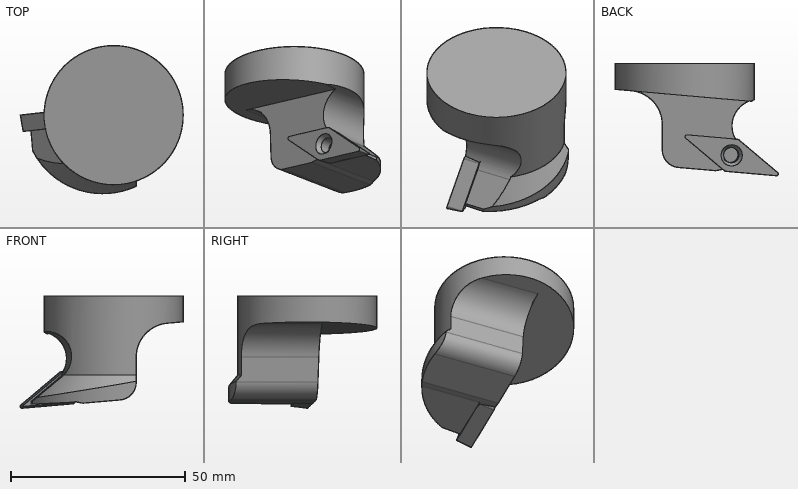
import cadquery as cq
import math

shank_diameter = 40.0
flare_top_z = -22.77
flare_angle = 39.4
head_radius = 22.6
head_axis_x = -3.15
tool_depth = 33.75

lead_angle = 5.0
underside_z = -9.25
bottom_z = -30.1
tip_relief_depth = 0.55
tip_relief_angle = 2.8
tip_relief_x = -10.8
tip_relief_end_x = -8.8
neck_wall_x = 6.5
neck_fillet = 9.7
heel_fillet = 5.15

rake_slope_x = 0.085
rake_slope_z = 0.035
rake_y = 3.4

scallop_radius = 7.7
scallop_x = -21.35
scallop_z = -18.0
nose_x = -24.35

insert_angle = 35.0
insert_incircle = 9.5
insert_thickness = 4.8
insert_clearance = 5.0
insert_nose_radius = 0.55
insert_center_x = -13.6
insert_center_z = -26.45
screw_diameter = 4.4
countersink_diameter = 6.1
countersink_depth = 1.4

reach = 70.3
lead_slope = math.tan(math.radians(lead_angle))
flank_angle = lead_angle + insert_angle

rake_plane = cq.Plane(
    origin=(0, rake_y, 0),
    xDir=(1, rake_slope_x, 0),
    normal=(rake_slope_x, -1, rake_slope_z),
)


def underside_at(x):
    return underside_z + lead_slope * x


def bottom_at(x):
    return bottom_z + lead_slope * x


def make_blank():
    """Shank cylinder with a flared head bounded by an offset cylinder."""
    shank_radius = shank_diameter / 2
    flare_height = tool_depth + flare_top_z
    flare_radius = shank_radius + flare_height * math.tan(math.radians(flare_angle))
    shank = cq.Workplane("XY").circle(shank_radius).extrude(-tool_depth)
    flare = (
        cq.Workplane("XZ")
        .moveTo(0, flare_top_z)
        .lineTo(shank_radius, flare_top_z)
        .lineTo(flare_radius, -tool_depth)
        .lineTo(0, -tool_depth)
        .close()
        .revolve(360, (0, 0, 0), (0, 1, 0))
    )
    head = cq.Workplane("XY").center(head_axis_x, 0).circle(head_radius).extrude(-tool_depth)
    upper_shank = shank.intersect(
        cq.Workplane("XY").rect(reach, reach).extrude(flare_top_z)
    )
    return upper_shank.union(flare.intersect(head))


def make_neck_cutter():
    """Space to the right of the neck, below the tilted underside."""
    lead = math.radians(lead_angle)
    arc_center_x = neck_wall_x + neck_fillet
    arc_center_z = underside_at(arc_center_x) - neck_fillet / math.cos(lead)
    arc_middle = math.radians(135 + lead_angle / 2)
    return (
        cq.Workplane("XZ")
        .moveTo(neck_wall_x, -reach)
        .lineTo(neck_wall_x, arc_center_z)
        .threePointArc(
            (
                arc_center_x + neck_fillet * math.cos(arc_middle),
                arc_center_z + neck_fillet * math.sin(arc_middle),
            ),
            (
                arc_center_x - neck_fillet * math.sin(lead),
                arc_center_z + neck_fillet * math.cos(lead),
            ),
        )
        .lineTo(reach, underside_at(reach))
        .lineTo(reach, -reach)
        .close()
        .extrude(reach, both=True)
    )


def make_gullet_cutter():
    """Space in front of the rake face, below the tilted underside."""
    below_underside = (
        cq.Workplane("XZ")
        .polyline([
            (-reach, underside_at(-reach)),
            (reach, underside_at(reach)),
            (reach, -reach),
            (-reach, -reach),
        ])
        .close()
        .extrude(reach, both=True)
    )
    rake_side = cq.Workplane(rake_plane).rect(3 * reach, 3 * reach).extrude(-reach)
    return below_underside.intersect(rake_side)


def make_scallop_cutter():
    """Round scallop that runs out tangentially into the flank, then the blunt holder nose."""
    flank = math.radians(flank_angle)
    tangent_x = scallop_x + scallop_radius * math.sin(flank)
    tangent_z = scallop_z - scallop_radius * math.cos(flank)
    nose_z = tangent_z + (nose_x - tangent_x) * math.tan(flank)
    return (
        cq.Workplane(rake_plane)
        .moveTo(-reach, scallop_z + scallop_radius)
        .lineTo(scallop_x, scallop_z + scallop_radius)
        .threePointArc((scallop_x + scallop_radius, scallop_z), (tangent_x, tangent_z))
        .lineTo(nose_x, nose_z)
        .lineTo(nose_x, -reach)
        .lineTo(-reach, -reach)
        .close()
        .extrude(reach, both=True)
    )


def make_bottom_envelope():
    """Everything above the bottom face, with the tip relief and the rounded heel."""
    relief_z = bottom_at(tip_relief_x) + tip_relief_depth
    relief_slope = math.tan(math.radians(tip_relief_angle))
    rounded_head = (
        cq.Workplane("XZ")
        .polyline([
            (-reach, relief_z - relief_slope * (reach + tip_relief_x)),
            (tip_relief_x, relief_z),
            (tip_relief_end_x, bottom_at(tip_relief_end_x)),
            (neck_wall_x, bottom_at(neck_wall_x)),
            (neck_wall_x, flare_top_z),
            (-reach, flare_top_z),
        ])
        .close()
        .extrude(reach, both=True)
        .edges(cq.selectors.NearestToPointSelector((neck_wall_x, 0, bottom_at(neck_wall_x))))
        .fillet(heel_fillet)
    )
    above = cq.Workplane("XY", origin=(0, 0, flare_top_z)).rect(3 * reach, 3 * reach).extrude(reach)
    return above.union(rounded_head)


def make_insert_blank():
    """Rhombic plate with rounded corners and relieved flanks, without its hole."""
    half_angle = math.radians(insert_angle / 2)
    core_radius = insert_incircle / 2 - insert_nose_radius
    half_length = core_radius / math.sin(half_angle)
    half_width = core_radius / math.cos(half_angle)
    return (
        cq.Workplane(rake_plane)
        .center(insert_center_x, insert_center_z)
        .transformed(rotate=(0, 0, lead_angle + insert_angle / 2))
        .polyline([(-half_length, 0), (0, -half_width), (half_length, 0), (0, half_width)])
        .close()
        .offset2D(insert_nose_radius)
        .extrude(insert_thickness, taper=insert_clearance)
    )


def make_insert():
    """Insert with a countersunk screw hole that opens on the rake face."""
    hole_start = cq.Workplane(rake_plane).center(insert_center_x, insert_center_z)
    screw_hole = hole_start.circle(screw_diameter / 2).extrude(insert_thickness)
    countersink = (
        hole_start.circle(countersink_diameter / 2)
        .workplane(offset=countersink_depth)
        .circle(screw_diameter / 2)
        .loft()
    )
    return make_insert_blank().cut(screw_hole).cut(countersink)


def make_holder():
    """One-piece holder with a pocket that fits the insert."""
    return (
        make_blank()
        .intersect(make_bottom_envelope())
        .cut(make_neck_cutter())
        .cut(make_gullet_cutter())
        .cut(make_scallop_cutter())
        .cut(make_insert_blank())
    )


holder = make_holder()
insert = make_insert()
result = cq.Compound.makeCompound([holder.val(), insert.val()])